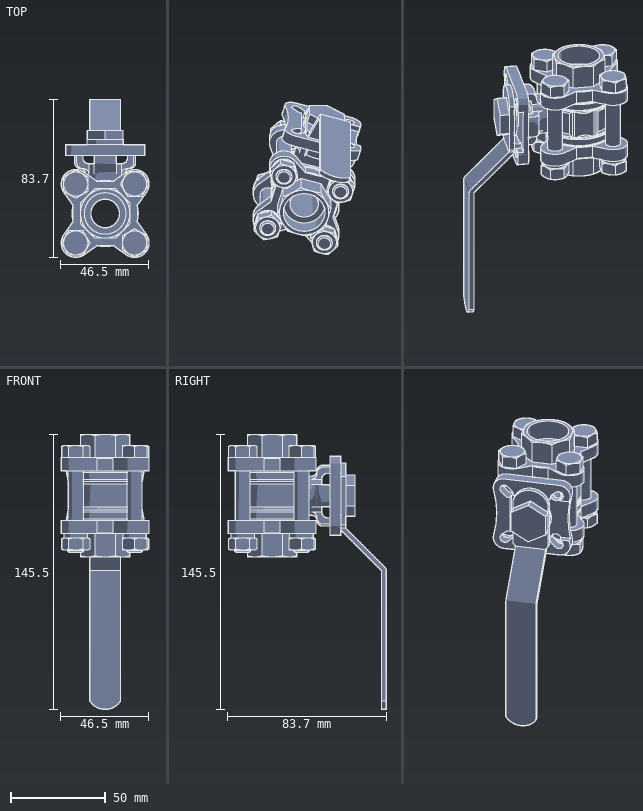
import cadquery as cq
import math


TOTAL_WIDTH = 46.5
TOTAL_HEIGHT = 145.5

END_Z = 32.5
END_SIDES = 8
END_FLATS = 26.2
END_CHAMFER_DIA = 26.0
CHAMFER_ANGLE = 30.0
BORE_DIA = 15.0
SOCKET_DIA = 22.0
SOCKET_DEPTH = 10.5

PLATE_INNER_Z = 13.1
PLATE_OUTER_Z = 20.1
LUG_RADIUS = 7.7
BOLT_OFFSET = TOTAL_WIDTH / 2 - LUG_RADIUS
PLATE_WAIST = 17.0
PLATE_WAIST_HALF_WIDTH = 4.2

RING_RADIUS = 35.0 / 2
CORE_RADIUS = 16.6
GROOVE_RADIUS = 16.9
FLARE_RADIUS = 17.3
CORE_HALF = 6.1
FLARE_HALF = 7.5
RING_INNER_Z = 8.6
RING_OUTER_Z = 12.2
RING_CAP_Z = 19.6

LABEL_X = 16.7
LABEL_FACE_WIDTH = 10.5
LABEL_SHOULDER_X = 16.3
LABEL_SHOULDER_WIDTH = 12.8
LABEL_ROOT_X = 14.8
LABEL_ROOT_WIDTH = 15.1

BOLT_DIA = 8.0
THREAD_DIA = 8.5
BOLT_CORNERS = 15.0
HEX_CHAMFER_DIA = 12.8
HEAD_HEIGHT = 6.5
COLLAR_DIA = 12.5
COLLAR_HEIGHT = 2.2
TIP_HEIGHT = 1.3
TIP_CHAMFER = 0.9

NECK_DIA = 21.0
NECK_TOP = 26.3
ARM_OUTER_RADIUS = 16.1
ARM_INNER_RADIUS = 13.1
ARM_WIDTH = 11.8
ARM_INNER_FILLET = 2.9
ARM_BEND_START = 26.8
ARM_BEND_END = 23.7

PAD_BOTTOM = 30.5
PAD_TOP = 36.4
PAD_HALF = 21.0
PAD_CORNER = 6.0
PAD_CORNER_END = 13.4
PAD_SIDE_MID = 19.0
PAD_CHANNEL_HALF = 11.8
PAD_CHANNEL_DEPTH = 2.9
SLOT_WIDTH = 5.0
SLOT_INNER = 12.5
SLOT_OUTER = 14.7

STEM_DIA = 10.0
STEM_END = 17.5
GLAND_HEX_CORNERS = 13.5
GLAND_HEIGHT = 1.6
NUT_CORNERS = 22.0
NUT_TOP = 44.0

LEVER_THICKNESS = 2.6
LEVER_MAX_Y = 60.4
HUB_WIDTH = 19.2
HUB_TOP = 17.3
HUB_STRAIGHT_TOP = 10.0
HUB_BOTTOM = -15.4
HANDLE_WIDTH = 16.5
HANDLE_BOTTOM = END_Z - TOTAL_HEIGHT
HANDLE_TIP_RISE = 4.5
UPPER_BEND_Z = -17.2
BEND_ANGLE = 45.0

FAR = 87.3


def box(x, y, z):
    """Box from three (low, high) ranges."""
    spans = [high - low for low, high in (x, y, z)]
    return cq.Workplane("XY").box(*spans, centered=False).translate((x[0], y[0], z[0]))


def rod(radius, low, high):
    """Cylinder around the Z axis."""
    return cq.Workplane("XY").workplane(offset=low).circle(radius).extrude(high - low)


def stem_rod(radius, low, high):
    """Cylinder around the Y axis."""
    return cq.Workplane("XZ", origin=(0, low, 0)).circle(radius).extrude(low - high)


def both_ends(shape):
    """A shape together with its mirror image below the valve centre."""
    return shape.union(shape.mirror("XY"))


def chamfer_cone(tip_radius, tip_z, base_z):
    """Pointed solid of revolution; what it shares with a prism has chamfered corners at tip_z."""
    drop = math.copysign(math.tan(math.radians(CHAMFER_ANGLE)) * tip_radius, tip_z - base_z)
    outline = [
        (0, base_z),
        (2 * tip_radius, base_z),
        (2 * tip_radius, tip_z - drop),
        (tip_radius, tip_z),
        (0, tip_z),
    ]
    return cq.Workplane("XZ").polyline(outline).close().revolve(360, (0, 0), (0, 1))


def valve_end():
    """Octagonal end with flats facing X and Y."""
    corners = END_FLATS / math.cos(math.pi / END_SIDES)
    prism = cq.Workplane("XY").polygon(END_SIDES, corners).extrude(END_Z)
    prism = prism.rotate((0, 0, 0), (0, 0, 1), 180 / END_SIDES)
    return prism.intersect(chamfer_cone(END_CHAMFER_DIA / 2, END_Z, 0))


def clamp_plate():
    """Four-lug plate: lugs with edges tangent to them that meet at narrow flat waists."""
    dx = PLATE_WAIST_HALF_WIDTH - BOLT_OFFSET
    dy = PLATE_WAIST - BOLT_OFFSET
    distance = math.hypot(dx, dy)
    angle = math.atan2(dy, dx) - math.acos(LUG_RADIUS / distance)
    tangent = (BOLT_OFFSET + LUG_RADIUS * math.cos(angle), BOLT_OFFSET + LUG_RADIUS * math.sin(angle))
    lug_tip = BOLT_OFFSET + LUG_RADIUS / math.sqrt(2)
    thickness = PLATE_OUTER_Z - PLATE_INNER_Z
    quarter = (
        cq.Workplane("XY", origin=(0, 0, PLATE_INNER_Z))
        .lineTo(0, PLATE_WAIST)
        .lineTo(PLATE_WAIST_HALF_WIDTH, PLATE_WAIST)
        .lineTo(*tangent)
        .threePointArc((lug_tip, lug_tip), (tangent[1], tangent[0]))
        .lineTo(PLATE_WAIST, PLATE_WAIST_HALF_WIDTH)
        .lineTo(PLATE_WAIST, 0)
        .close()
        .extrude(thickness)
    )
    half = quarter.union(quarter.mirror("YZ"))
    return half.union(half.mirror("XZ"))


def round_core():
    """Body with flared rims, a groove on each side and a ring at each end."""
    profile = [
        (0, 0),
        (CORE_RADIUS, 0),
        (CORE_RADIUS, CORE_HALF),
        (FLARE_RADIUS, FLARE_HALF),
        (GROOVE_RADIUS, FLARE_HALF),
        (GROOVE_RADIUS, RING_INNER_Z),
        (RING_RADIUS, RING_INNER_Z),
        (RING_RADIUS, RING_OUTER_Z),
        (GROOVE_RADIUS, RING_OUTER_Z),
        (GROOVE_RADIUS, PLATE_INNER_Z),
        (RING_RADIUS, PLATE_INNER_Z),
        (RING_RADIUS, RING_CAP_Z),
        (0, RING_CAP_Z),
    ]
    return both_ends(cq.Workplane("XZ").polyline(profile).close().revolve(360, (0, 0), (0, 1)))


def label_pad():
    """Flat-faced pad with sloping sides."""
    half = [
        (0, 0),
        (-LABEL_X, 0),
        (-LABEL_X, LABEL_FACE_WIDTH / 2),
        (-LABEL_SHOULDER_X, LABEL_SHOULDER_WIDTH / 2),
        (-LABEL_ROOT_X, LABEL_ROOT_WIDTH / 2),
        (0, LABEL_ROOT_WIDTH / 2),
    ]
    pad = cq.Workplane("XY").polyline(half).close().extrude(FLARE_HALF, both=True)
    return pad.union(pad.mirror("XZ"))


def bolt_hex():
    """Bolt head or nut with its chamfered end at the top and its seat at Z = 0."""
    prism = cq.Workplane("XY").polygon(6, BOLT_CORNERS).extrude(HEAD_HEIGHT)
    return prism.intersect(chamfer_cone(HEX_CHAMFER_DIA / 2, HEAD_HEIGHT, 0))


def bolt():
    """Bolt through both clamp plates, with its head above and a collar and nut below."""
    nut_seat = -PLATE_OUTER_Z - COLLAR_HEIGHT
    nut_end = nut_seat - HEAD_HEIGHT
    head = bolt_hex().translate((0, 0, PLATE_OUTER_Z))
    nut = bolt_hex().mirror("XY").translate((0, 0, nut_seat))
    nut = nut.intersect(chamfer_cone(HEX_CHAMFER_DIA / 2, nut_seat, nut_end))
    shank = rod(BOLT_DIA / 2, nut_end, PLATE_OUTER_Z)
    collar = rod(COLLAR_DIA / 2, nut_seat, -PLATE_OUTER_Z)
    tip = rod(THREAD_DIA / 2, nut_end - TIP_HEIGHT, nut_end).faces("<Z").chamfer(TIP_CHAMFER)
    return head.union(shank).union(collar).union(nut).union(tip)


def bolts():
    """Four bolts, each turned a quarter turn from its neighbour."""
    first = bolt().translate((-BOLT_OFFSET, -BOLT_OFFSET, 0))
    group = first
    for quarter in range(1, 4):
        group = group.union(first.rotate((0, 0, 0), (0, 0, 1), 90 * quarter))
    return group


def turned_about_stem(shape):
    """The shape turned a quarter turn around the Y axis."""
    return shape.rotate((0, 0, 0), (0, 1, 0), 90)


def neck():
    return stem_rod(NECK_DIA / 2, BORE_DIA / 2, NECK_TOP)


def pad_arms():
    """Four arms cut from one turned bell that widens from the neck to the mounting pad."""
    neck_radius = NECK_DIA / 2
    outer_bend = ARM_BEND_START - ARM_BEND_END
    root_bend = ARM_OUTER_RADIUS - outer_bend - neck_radius
    fillet = ARM_INNER_FILLET
    arc_inset = 1 - 1 / math.sqrt(2)
    bell = (
        cq.Workplane("XY")
        .moveTo(0, ARM_BEND_END - root_bend)
        .lineTo(neck_radius, ARM_BEND_END - root_bend)
        .threePointArc(
            (neck_radius + arc_inset * root_bend, ARM_BEND_END - arc_inset * root_bend),
            (neck_radius + root_bend, ARM_BEND_END),
        )
        .threePointArc(
            (ARM_OUTER_RADIUS - arc_inset * outer_bend, ARM_BEND_END + arc_inset * outer_bend),
            (ARM_OUTER_RADIUS, ARM_BEND_START),
        )
        .lineTo(ARM_OUTER_RADIUS, PAD_BOTTOM)
        .lineTo(ARM_INNER_RADIUS, PAD_BOTTOM)
        .lineTo(ARM_INNER_RADIUS, NECK_TOP + fillet)
        .threePointArc(
            (ARM_INNER_RADIUS - arc_inset * fillet, NECK_TOP + arc_inset * fillet),
            (ARM_INNER_RADIUS - fillet, NECK_TOP),
        )
        .lineTo(0, NECK_TOP)
        .close()
        .revolve(360, (0, 0), (0, 1))
    )
    cross_bar = box((-FAR, FAR), (0, FAR), (-ARM_WIDTH / 2, ARM_WIDTH / 2))
    return bell.intersect(cross_bar.union(turned_about_stem(cross_bar)))


def mounting_pad():
    """Square pad with hollowed sides, a slot in each corner and a channel open towards -X."""
    center = PAD_HALF - PAD_CORNER
    corner_end_x = center + math.sqrt(PAD_CORNER**2 - (center - PAD_CORNER_END) ** 2)
    corner_mid = center + PAD_CORNER / math.sqrt(2)
    height = PAD_TOP - PAD_BOTTOM
    half = (
        cq.Workplane("XZ", origin=(0, PAD_BOTTOM, 0))
        .moveTo(0, -PAD_HALF)
        .lineTo(center, -PAD_HALF)
        .threePointArc((corner_mid, -corner_mid), (corner_end_x, -PAD_CORNER_END))
        .threePointArc((PAD_SIDE_MID, 0), (corner_end_x, PAD_CORNER_END))
        .threePointArc((corner_mid, corner_mid), (center, PAD_HALF))
        .lineTo(0, PAD_HALF)
        .close()
        .extrude(-height)
    )
    pad = half.union(half.mirror("YZ"))

    slot_middle = (SLOT_INNER + SLOT_OUTER) / math.sqrt(2)
    slot_length = (SLOT_OUTER - SLOT_INNER) * math.sqrt(2) + SLOT_WIDTH
    slots = (
        cq.Workplane("XZ", origin=(0, PAD_BOTTOM, 0))
        .transformed(rotate=(0, 0, 45))
        .pushPoints([(-slot_middle, 0), (slot_middle, 0)])
        .slot2D(slot_length, SLOT_WIDTH)
        .extrude(-height)
    )
    channel = box(
        (-FAR, PAD_CHANNEL_HALF),
        (PAD_TOP - PAD_CHANNEL_DEPTH, PAD_TOP),
        (-PAD_CHANNEL_HALF, PAD_CHANNEL_HALF),
    )
    return pad.cut(slots).cut(turned_about_stem(slots)).cut(channel)


def make_housing():
    body = round_core().union(both_ends(valve_end())).union(both_ends(clamp_plate()))
    body = body.union(label_pad()).union(neck()).union(pad_arms()).union(mounting_pad()).union(bolts())
    socket = rod(SOCKET_DIA / 2, END_Z - SOCKET_DEPTH, END_Z)
    bore = rod(BORE_DIA / 2, -END_Z, END_Z)
    stem_hole = stem_rod(STEM_DIA / 2, STEM_END, PAD_TOP)
    return body.cut(both_ends(socket)).cut(bore).cut(stem_hole)


def stem_hex(corners, low, high):
    """Hexagon around the Y axis with corners towards +Z and -Z."""
    prism = cq.Workplane("XZ", origin=(0, low, 0)).polygon(6, corners).extrude(low - high)
    return turned_about_stem(prism)


def make_stem():
    """Stem with a gland hexagon and washer under the lever, and a nut above it."""
    shaft = stem_rod(STEM_DIA / 2, STEM_END, NUT_TOP)
    channel_floor = PAD_TOP - PAD_CHANNEL_DEPTH
    gland = stem_hex(GLAND_HEX_CORNERS, channel_floor, channel_floor + GLAND_HEIGHT)
    washer = stem_rod(NECK_DIA / 2, channel_floor + GLAND_HEIGHT, PAD_TOP)
    nut = stem_hex(NUT_CORNERS, PAD_TOP + LEVER_THICKNESS, NUT_TOP)
    return shaft.union(gland).union(washer).union(nut)


def make_lever():
    """Strip bent outwards and back down, with a wide hub and a rounded tip."""
    hub_y = PAD_TOP + LEVER_THICKNESS
    handle_y = LEVER_MAX_Y - LEVER_THICKNESS
    lower_bend_z = UPPER_BEND_Z - (LEVER_MAX_Y - hub_y) / math.tan(math.radians(BEND_ANGLE))
    bend_shift = LEVER_THICKNESS * math.tan(math.radians(BEND_ANGLE / 2))
    side = [
        (PAD_TOP, HUB_TOP),
        (hub_y, HUB_TOP),
        (hub_y, UPPER_BEND_Z),
        (LEVER_MAX_Y, lower_bend_z),
        (LEVER_MAX_Y, HANDLE_BOTTOM),
        (handle_y, HANDLE_BOTTOM),
        (handle_y, lower_bend_z - bend_shift),
        (PAD_TOP, UPPER_BEND_Z - bend_shift),
    ]
    strip = cq.Workplane("YZ").polyline(side).close().extrude(HUB_WIDTH / 2, both=True)
    outer_bend = cq.selectors.NearestToPointSelector((0, LEVER_MAX_Y, lower_bend_z))
    strip = strip.edges(outer_bend).fillet(LEVER_THICKNESS)
    hub = HUB_WIDTH / 2
    handle = HANDLE_WIDTH / 2
    tip_z = HANDLE_BOTTOM + HANDLE_TIP_RISE
    outline = (
        cq.Workplane("XZ")
        .moveTo(hub, HUB_BOTTOM)
        .lineTo(hub, HUB_STRAIGHT_TOP)
        .threePointArc((0, HUB_TOP), (-hub, HUB_STRAIGHT_TOP))
        .lineTo(-hub, HUB_BOTTOM)
        .lineTo(-handle, UPPER_BEND_Z)
        .lineTo(-handle, tip_z)
        .threePointArc((0, HANDLE_BOTTOM), (handle, tip_z))
        .lineTo(handle, UPPER_BEND_Z)
        .close()
        .extrude(-FAR)
    )
    return strip.intersect(outline).cut(stem_rod(STEM_DIA / 2, PAD_TOP, hub_y))


housing = make_housing()
stem = make_stem()
lever = make_lever()

result = cq.Compound.makeCompound([housing.solids().val(), stem.solids().val(), lever.solids().val()])